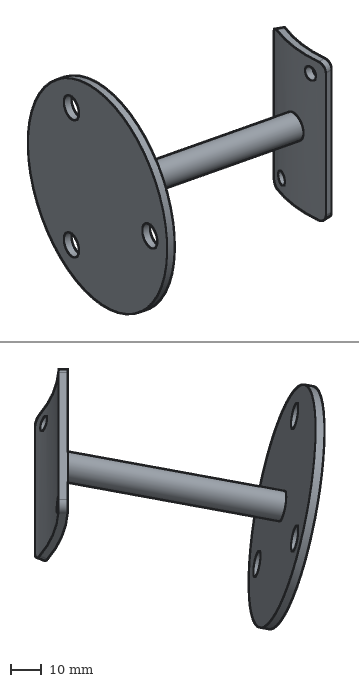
import cadquery as cq
import math

total_length = 82.1
flange_diameter = 80.0
flange_thickness = 3.0
flange_hole_diameter = 8.5
flange_hole_circle_radius = 30.0
flange_hole_count = 3

rod_diameter = 10.0

saddle_width = 30.0
saddle_height = 60.0
saddle_thickness = 3.0
saddle_outer_radius = 53.05
saddle_corner_radius = 3.0
saddle_hole_diameter = 5.0
saddle_hole_x = 8.3
saddle_hole_z = 24.0

saddle_inner_radius = saddle_outer_radius - saddle_thickness
saddle_half_angle = math.asin(saddle_width / 2 / saddle_outer_radius)
bend_axis_y = total_length + saddle_inner_radius * math.cos(saddle_half_angle)


def y_cylinder(diameter, y_start, y_end, x=0, z=0):
    """Cylinder along +Y between two Y positions."""
    return cq.Workplane(
        cq.Solid.makeCylinder(diameter / 2, y_end - y_start, cq.Vector(x, y_start, z), cq.Vector(0, 1, 0))
    )


def arc_point(radius, angle):
    """XY point on the saddle bend, with the angle measured from -Y toward +X."""
    return (radius * math.sin(angle), bend_axis_y - radius * math.cos(angle))


def make_flange():
    flange = y_cylinder(flange_diameter, 0, flange_thickness)
    for index in range(flange_hole_count):
        angle = 2 * math.pi * index / flange_hole_count
        hole_x = flange_hole_circle_radius * math.cos(angle)
        hole_z = flange_hole_circle_radius * math.sin(angle)
        flange = flange.cut(y_cylinder(flange_hole_diameter, 0, flange_thickness, hole_x, hole_z))
    return flange


def make_saddle():
    saddle = (
        cq.Workplane("XY")
        .moveTo(*arc_point(saddle_outer_radius, -saddle_half_angle))
        .threePointArc(
            arc_point(saddle_outer_radius, 0), arc_point(saddle_outer_radius, saddle_half_angle)
        )
        .lineTo(*arc_point(saddle_inner_radius, saddle_half_angle))
        .threePointArc(
            arc_point(saddle_inner_radius, 0), arc_point(saddle_inner_radius, -saddle_half_angle)
        )
        .close()
        .extrude(saddle_height / 2, both=True)
    )
    saddle = saddle.faces("<X or >X").edges("<Z or >Z").fillet(saddle_corner_radius)
    for side in (-1, 1):
        saddle = saddle.cut(
            y_cylinder(
                saddle_hole_diameter, flange_thickness, total_length, side * saddle_hole_x, side * saddle_hole_z
            )
        )
    return saddle


rod_end_y = bend_axis_y - saddle_outer_radius + saddle_thickness / 2
rod = y_cylinder(rod_diameter, 0, rod_end_y)

result = make_flange().union(rod).union(make_saddle())